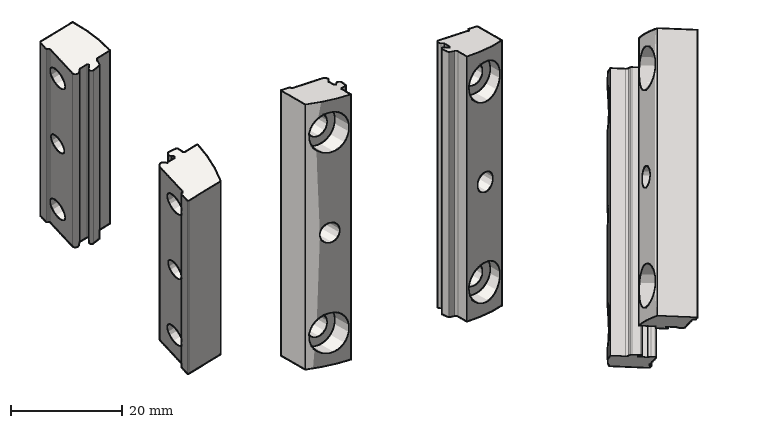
import cadquery as cq
import math

overall_width = 44.4
rail_depth = 9.0
rail_length = 53.0

neck_offset = 9.1
crown_drop = 1.6
foot_width = 2.1
foot_height = 0.55
foot_edge_radius = 0.2
foot_root_radius = 0.25

toe_radius = 0.7
toe_center_offset = 9.05

groove_start = 3.7
groove_width = 0.65
groove_radius = groove_width / 2
lip_radius = 0.5
lip_center_offset = 10.4
lip_center_height = 3.85
lip_shoulder_offset = 10.65
lip_shoulder_height = 5.55
lip_shoulder_radius = 0.2
lip_root_height = 5.85
lip_root_radius = 0.4

hole_offset = 4.65
screw_spacing = 40.05
screw_diameter = 4.5
counterbore_diameter = 8.0
counterbore_depth = 4.25
pin_hole_diameter = 4.0

diagonal = math.sqrt(0.5)


def crown_height(offset):
    """Height of the curved back, an arc tangent to the depth limit at the inner side."""
    crown_radius = (neck_offset**2 + crown_drop**2) / (2 * crown_drop)
    return rail_depth - crown_radius + math.sqrt(crown_radius**2 - (neck_offset - offset) ** 2)


def make_profile():
    """Closed section of the left rail, with X measured inward from its outer side."""
    toe_side = toe_center_offset + toe_radius
    toe_center_height = foot_height + toe_radius
    toe_reach = toe_radius * diagonal
    toe_end = (toe_center_offset + toe_reach, toe_center_height + toe_reach)
    toe_top = toe_end[1] + toe_end[0] - neck_offset
    lip_side = lip_center_offset + lip_radius
    lip_left = lip_center_offset - lip_radius * diagonal
    lip_lower = lip_center_height - lip_radius * diagonal
    return (
        cq.Workplane("XY")
        .moveTo(0, 0)
        .lineTo(foot_width, 0)
        .lineTo(foot_width, foot_height)
        .lineTo(toe_center_offset, foot_height)
        .threePointArc((toe_side, toe_center_height), toe_end)
        .lineTo(neck_offset, toe_top)
        .lineTo(neck_offset, groove_start)
        .threePointArc(
            (neck_offset + groove_radius, groove_start + groove_radius),
            (neck_offset + groove_width, groove_start),
        )
        .lineTo(lip_left, lip_lower)
        .threePointArc(
            (lip_center_offset + lip_radius * diagonal, lip_lower),
            (lip_side, lip_center_height),
        )
        .lineTo(lip_shoulder_offset, lip_shoulder_height)
        .lineTo(neck_offset + lip_root_radius, lip_root_height)
        .threePointArc(
            (
                neck_offset + lip_root_radius * (1 - diagonal),
                lip_root_height + lip_root_radius * (1 - diagonal),
            ),
            (neck_offset, lip_root_height + lip_root_radius),
        )
        .lineTo(neck_offset, rail_depth)
        .threePointArc((neck_offset / 2, crown_height(neck_offset / 2)), (0, crown_height(0)))
        .close()
    )


def round_edge_at(body, x, y, radius):
    """Fillet the lengthwise edge that passes through (x, y)."""
    point = (x, y, rail_length / 2)
    return body.edges(cq.selectors.NearestToPointSelector(point)).fillet(radius)


def hole_cutter(diameter, start, z):
    """Cylinder along +Y from the given start to beyond the curved back."""
    center = cq.Vector(hole_offset, start, z)
    return cq.Solid.makeCylinder(diameter / 2, rail_depth, center, cq.Vector(0, 1, 0))


def make_left_rail():
    """Rail with its outer side at X = 0 and its foot face at Y = 0."""
    rail = make_profile().extrude(rail_length)
    rail = round_edge_at(rail, 0, 0, foot_edge_radius)
    rail = round_edge_at(rail, foot_width, 0, foot_edge_radius)
    rail = round_edge_at(rail, foot_width, foot_height, foot_root_radius)
    rail = round_edge_at(rail, lip_shoulder_offset, lip_shoulder_height, lip_shoulder_radius)

    middle = rail_length / 2
    rail = rail.cut(hole_cutter(pin_hole_diameter, 0, middle))
    for z in (middle - screw_spacing / 2, middle + screw_spacing / 2):
        rail = rail.cut(hole_cutter(screw_diameter, 0, z))
        rail = rail.cut(hole_cutter(counterbore_diameter, rail_depth - counterbore_depth, z))
    return rail


left_rail = make_left_rail().translate((-overall_width / 2, -rail_depth / 2, -rail_length / 2))
right_rail = left_rail.mirror("YZ")
result = cq.Compound.makeCompound([left_rail.val(), right_rail.val()])